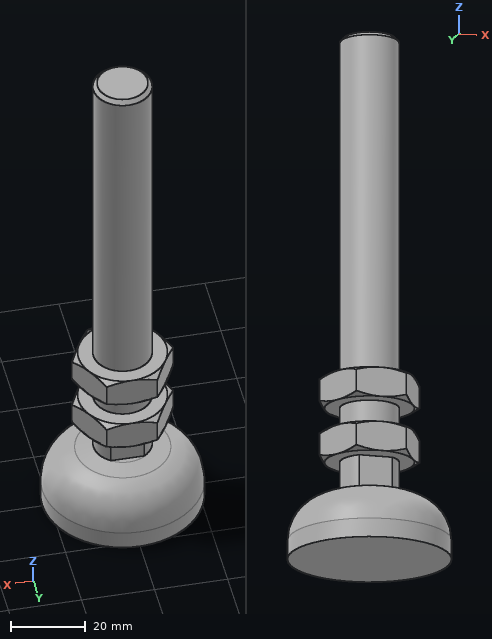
import cadquery as cq
import math

total_height = 145.0

foot_radius = 21.97
rim_height = 5.2
shoulder_radius = 12.0
cone_angle = 14.2

stem_radius = 8.0
tip_chamfer = 1.2
flats_width = 13.0

nut_width = 24.0
nut_height = 8.1
nut_bottoms = (27.0, 42.0)
nut_chamfer_angle = 30.0

shoulder_center = foot_radius - shoulder_radius
cone_tilt = math.radians(cone_angle)
cone_base_radius = shoulder_center + shoulder_radius * math.sin(cone_tilt)
cone_base_height = rim_height + shoulder_radius * math.cos(cone_tilt)
foot_height = cone_base_height + (cone_base_radius - stem_radius) * math.tan(cone_tilt)


def make_foot():
    """Solid of revolution standing on the XY plane."""
    return (
        cq.Workplane("XZ")
        .lineTo(foot_radius, 0)
        .lineTo(foot_radius, rim_height)
        .tangentArcPoint((cone_base_radius, cone_base_height), relative=False)
        .lineTo(stem_radius, foot_height)
        .lineTo(0, foot_height)
        .close()
        .revolve(360, (0, 0, 0), (0, 1, 0))
    )


def make_stem():
    """Rod with a chamfered tip; its flats face -Y and +Y below the lower nut."""
    flats_top = nut_bottoms[0]
    rod = (
        cq.Workplane("XY")
        .workplane(offset=flats_top)
        .circle(stem_radius)
        .extrude(total_height - flats_top)
        .faces(">Z")
        .chamfer(tip_chamfer)
    )
    flats_length = flats_top - foot_height
    neck_round = cq.Workplane("XY").workplane(offset=foot_height).circle(stem_radius).extrude(flats_length)
    neck_slab = (
        cq.Workplane("XY")
        .workplane(offset=foot_height)
        .rect(2 * stem_radius, flats_width)
        .extrude(flats_length)
    )
    return rod.union(neck_round.intersect(neck_slab))


def make_nut(bottom):
    """Hexagon with corners on the X axis, chamfered conically at both ends."""
    face_radius = nut_width / 2
    corner_radius = face_radius / math.cos(math.pi / 6)
    chamfer_height = (corner_radius - face_radius) * math.tan(math.radians(nut_chamfer_angle))
    hexagon = cq.Workplane("XY").polygon(6, 2 * corner_radius).extrude(nut_height)
    chamfer_envelope = (
        cq.Workplane("XZ")
        .lineTo(face_radius, 0)
        .lineTo(corner_radius, chamfer_height)
        .lineTo(corner_radius, nut_height - chamfer_height)
        .lineTo(face_radius, nut_height)
        .lineTo(0, nut_height)
        .close()
        .revolve(360, (0, 0, 0), (0, 1, 0))
    )
    return hexagon.intersect(chamfer_envelope).translate((0, 0, bottom))


result = make_foot().union(make_stem())
for nut_bottom in nut_bottoms:
    result = result.union(make_nut(nut_bottom))